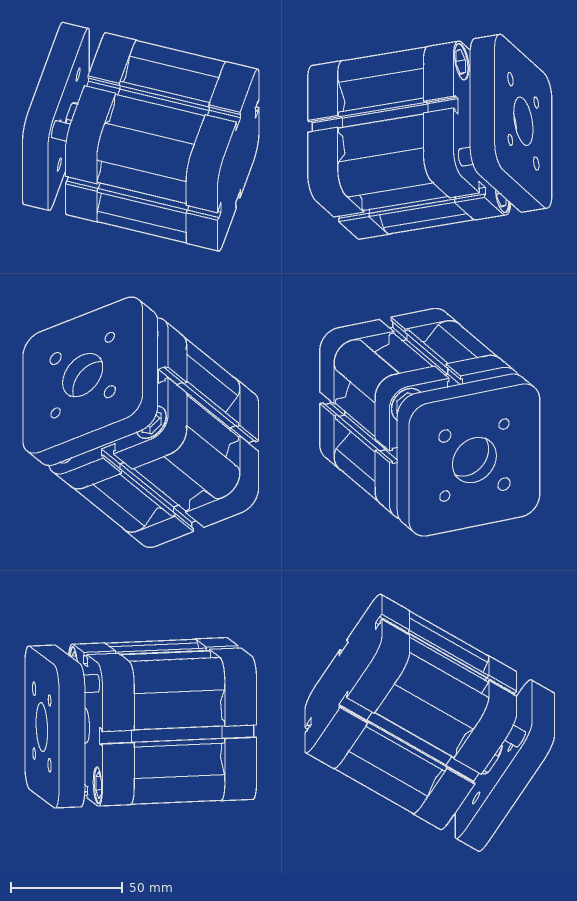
import cadquery as cq
import math


total_length = 91.5
plate_thickness = 12.0
gap_length = 8.1
cap_thickness = 14.7
front_cap_x = plate_thickness + gap_length
tube_x = front_cap_x + cap_thickness
rear_cap_x = total_length - cap_thickness
tube_length = rear_cap_x - tube_x

side = 65.5
half_side = side / 2
corner_radius = 9.4
corner_offset = half_side - corner_radius

plate_recess_diameter = 22.0
plate_recess_depth = 8.0
plate_hole_offset = 14.8
dowel_hole_diameter = 6.0
screw_hole_diameter = 5.0

rod_diameter = 16.0
rod_chamfer = 0.55
flats_width = 13.0
flats_length = 6.4

pin_diameter = 8.0

head_recess_diameter = 16.5
head_recess_depth = 0.55
hex_width = 10.6
hex_depth = 6.6

barrel_radius = 27.45
column_radius = 9.2
web_outer_z = 19.4
web_outer_y = corner_offset + math.sqrt(column_radius**2 - (corner_offset - web_outer_z) ** 2)
web_base_z = 12.6
web_base_y = math.sqrt(barrel_radius**2 - web_base_z**2)
web_fillet = 1.1
rib_half_width = 5.1
rib_top = 32.0
rib_base = math.sqrt(barrel_radius**2 - rib_half_width**2)
rib_base_fillet = 0.8
rib_top_fillet = 1.0

slot_mouth_half_width = 2.8
cap_slot_half_width = 3.75
tube_slot_half_width = 3.7
slot_lip_inner = 31.1
cap_slot_floor = 27.45
tube_slot_floor = 27.3
slot_mouth_fillet = 0.32

quarter_turns = [0, 90, 180, 270]
match_tolerance = 0.01


def section(x):
    """Sketch plane across the part at x, with local axes along +Y and +Z."""
    return cq.Workplane("YZ", origin=(x, 0, 0))


def square_block(x, length):
    """Rounded square block from x to x + length."""
    return section(x).rect(side, side).extrude(length).edges("|X").fillet(corner_radius)


def around_axis(shape):
    """The four copies of a shape at quarter turns about the X axis."""
    return [shape.rotate((0, 0, 0), (1, 0, 0), angle) for angle in quarter_turns]


def cut_slots(body, x, length, inner_half_width, floor):
    """Cut the four stepped slots, each wider behind its lips than at its mouth."""
    mouth = section(x).center(0, half_side).rect(2 * slot_mouth_half_width, 2 * (half_side - floor))
    inner = section(x).center(0, (floor + slot_lip_inner) / 2)
    inner = inner.rect(2 * inner_half_width, slot_lip_inner - floor)
    slot = mouth.extrude(length).union(inner.extrude(length))
    for turned_slot in around_axis(slot):
        body = body.cut(turned_slot)
    return body


def fillet_long_edges(body, a, b, radius):
    """Round the eight long edges at distances a and b from the two middle planes."""
    low, high = sorted((a, b))

    def matches(edge):
        centre = edge.Center()
        near, far = sorted((abs(centre.y), abs(centre.z)))
        return abs(near - low) < match_tolerance and abs(far - high) < match_tolerance

    return body.edges("|X").filter(matches).fillet(radius)


def make_plate():
    """Front plate with a central recess and four through holes."""
    plate = square_block(0, plate_thickness)
    recess = section(0).circle(plate_recess_diameter / 2).extrude(plate_recess_depth)
    plate = plate.cut(recess)
    near = plate_hole_offset
    dowel_places = [(near, near), (-near, -near)]
    screw_places = [(near, -near), (-near, near)]
    for places, diameter in ((dowel_places, dowel_hole_diameter), (screw_places, screw_hole_diameter)):
        holes = section(0).pushPoints(places).circle(diameter / 2).extrude(plate_thickness)
        plate = plate.cut(holes)
    return plate


def make_rod():
    """Piston rod between plate and housing, with two wrench flats at the plate end."""
    rod = section(plate_thickness).circle(rod_diameter / 2).extrude(gap_length)
    rod = rod.faces("<X").chamfer(rod_chamfer)
    envelope = section(plate_thickness).rect(rod_diameter, flats_width).extrude(flats_length)
    round_end = section(plate_thickness + flats_length).circle(rod_diameter / 2)
    envelope = envelope.union(round_end.extrude(gap_length - flats_length))
    return rod.intersect(envelope)


def make_pin(y, z):
    """Guide pin between plate and housing."""
    return section(plate_thickness).center(y, z).circle(pin_diameter / 2).extrude(gap_length)


def make_cap(x):
    """End cap of the housing."""
    cap = square_block(x, cap_thickness)
    return cut_slots(cap, x, cap_thickness, cap_slot_half_width, cap_slot_floor)


def cut_screw_recesses(cap):
    """Cut the two round recesses with hexagon sockets into the front cap."""
    hex_corner_diameter = hex_width / math.cos(math.pi / 6)
    for sign in (1, -1):
        place = (sign * corner_offset, sign * corner_offset)
        recess = section(front_cap_x).center(*place).circle(head_recess_diameter / 2)
        socket = section(front_cap_x).center(*place).transformed(rotate=(0, 0, 90))
        socket = socket.polygon(6, hex_corner_diameter).extrude(head_recess_depth + hex_depth)
        cap = cap.cut(recess.extrude(head_recess_depth)).cut(socket)
    return cap


def make_tube():
    """Profiled tube: round barrel, four round-ended corner webs and four slotted ribs."""
    tube = section(tube_x).circle(barrel_radius).extrude(tube_length)
    column_tip = corner_offset + column_radius * math.sqrt(0.5)
    column = section(tube_x).moveTo(web_base_y, web_base_z).lineTo(web_outer_y, web_outer_z)
    column = column.threePointArc((column_tip, column_tip), (web_outer_z, web_outer_y))
    column = column.lineTo(web_base_z, web_base_y).close().extrude(tube_length)
    rib = section(tube_x).center(0, rib_top / 2).rect(2 * rib_half_width, rib_top)
    arm = column.union(rib.extrude(tube_length))
    for turned_arm in around_axis(arm):
        tube = tube.union(turned_arm)
    tube = fillet_long_edges(tube, web_base_y, web_base_z, web_fillet)
    tube = fillet_long_edges(tube, rib_half_width, rib_base, rib_base_fillet)
    tube = fillet_long_edges(tube, rib_half_width, rib_top, rib_top_fillet)
    tube = cut_slots(tube, tube_x, tube_length, tube_slot_half_width, tube_slot_floor)
    return fillet_long_edges(tube, slot_mouth_half_width, rib_top, slot_mouth_fillet)


def make_housing():
    """Housing in one piece: front cap, tube and rear cap."""
    front_cap = cut_screw_recesses(make_cap(front_cap_x))
    rear_cap = make_cap(rear_cap_x)
    return front_cap.union(make_tube()).union(rear_cap)


plate = make_plate()
rod = make_rod()
housing = make_housing()
pins = [make_pin(y, -y) for y in (-corner_offset, corner_offset)]

result = cq.Compound.makeCompound(
    [plate.val(), rod.val(), housing.val(), *[pin.val() for pin in pins]]
)